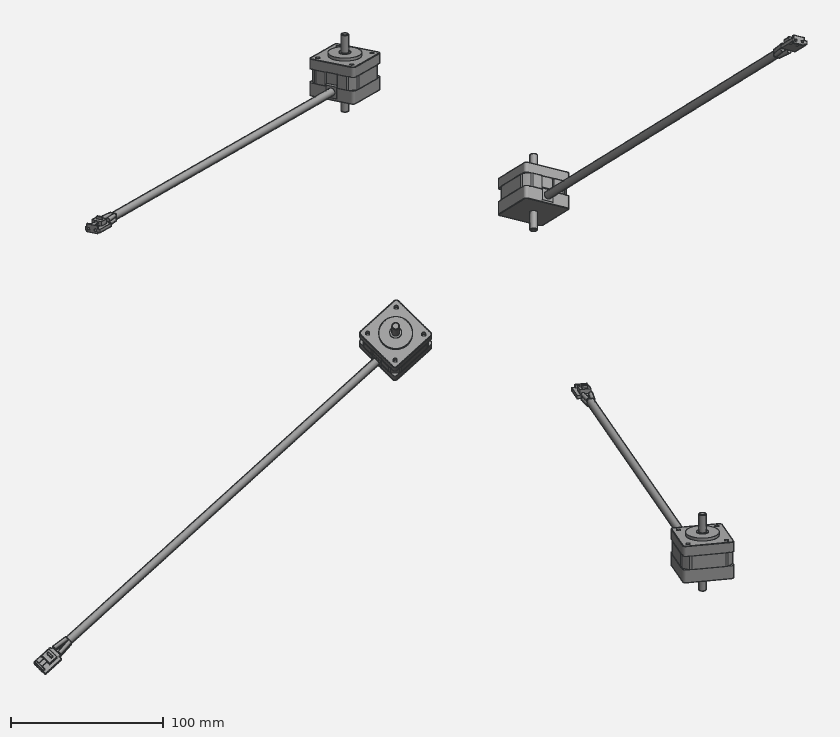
import cadquery as cq


TOTAL_LENGTH = 341.5

STATOR_WIDTH = 35.2
STATOR_CORNER_DIAMETER = 43.0
STATOR_EDGE_CHAMFER = 0.85
CAP_WIDTH = 34.5
CAP_CORNER_FILLET = 2.0
CAP_RIM_CHAMFER = 0.5
CAP_TOP_Z = 12.0
CAP_BOTTOM_Z = -14.0
STATOR_TOP_Z = 4.8
STATOR_BOTTOM_Z = -4.8

PILOT_DIAMETER = 22.2
PILOT_HEIGHT = 2.0
COLLAR_RING_DIAMETER = 8.0
COLLAR_RING_HEIGHT = 0.5
MOUNT_HOLE_SPACING = 26.0
MOUNT_HOLE_DIAMETER = 2.7
MOUNT_HOLE_DEPTH = 4.0

SHAFT_DIAMETER = 5.0
SHAFT_LENGTH = 54.0
SHAFT_CHAMFER = 0.5

OUTLET_WIDTH = 8.2
OUTLET_CLEARANCE = 0.7
OUTLET_DEPTH = 3.5
OUTLET_TOP_Z = STATOR_TOP_Z
OUTLET_STEP_TOP_Z = -3.0
OUTLET_STEP_BOTTOM_Z = -4.0
OUTLET_BOTTOM_Z = -12.3
OUTLET_UPPER_FACE_Y = -16.7
OUTLET_LOWER_FACE_Y = -17.5
OUTLET_BACK_Y = OUTLET_UPPER_FACE_Y + OUTLET_DEPTH
CABLE_DIAMETER = 5.5
CABLE_Z = -8.2
CABLE_END_Y = -297.0

WIRE_DIAMETER = 2.9
WIRE_START_OFFSET = 1.47
WIRE_END_OFFSET_X = 2.55
WIRE_END_OFFSET_Z = 1.47

PLUG_FRONT_Y = STATOR_WIDTH / 2 - TOTAL_LENGTH
PLUG_LENGTH = 14.7
PLUG_BACK_Y = PLUG_FRONT_Y + PLUG_LENGTH
PLUG_WIDTH = 11.0
NECK_LENGTH = 1.5
NECK_WIDTH = 7.5
NECK_BOTTOM_Z = -9.0
NECK_BACK_Y = PLUG_BACK_Y + NECK_LENGTH
PLUG_CENTER_X = 0.7
PLUG_TOP_Z = -7.5
PLUG_BOTTOM_Z = -10.0
COLLAR_WIDTH = 8.2
COLLAR_LENGTH = 1.5
COLLAR_TOP_Z = -5.5
COLLAR_BOTTOM_Z = -11.0
LATCH_WIDTH = 7.5
LATCH_SETBACK = 2.0
LATCH_BACK_Y = PLUG_BACK_Y - LATCH_SETBACK
LATCH_LENGTH = 6.5
LATCH_TOP_Z = -4.5
LATCH_ARM_WIDTH = 3.0
LATCH_ARM_THICKNESS = 0.7
THUMB_TAB_WIDTH = 4.0
THUMB_TAB_SETBACK = 2.0
THUMB_TAB_LENGTH = 1.5
THUMB_TAB_TOP_Z = -2.7
SOCKET_DIAMETER = 1.7
SOCKET_SPACING = 5.0
SOCKET_DEPTH = 7.0


def block(x_center, width, y_min, y_max, z_min, z_max):
    """A box centred on x_center, between the given Y and Z limits."""
    base_plane = cq.Workplane("XY", origin=(x_center, y_min, z_min))
    return base_plane.box(width, y_max - y_min, z_max - z_min, centered=(True, False, False))


def square_slab(width, z_min, z_max):
    """A square slab about the Z axis."""
    return cq.Workplane("XY").workplane(offset=z_min).rect(width, width).extrude(z_max - z_min)


def cap_slab(z_min, z_max, outer_face):
    """The square slab of an end cap, with round upright corners and a chamfered rim on its outer face."""
    slab = square_slab(CAP_WIDTH, z_min, z_max).edges("|Z").fillet(CAP_CORNER_FILLET)
    return slab.faces(outer_face).chamfer(CAP_RIM_CHAMFER)


def shaft_rod():
    """The plain round rod of the shaft, also used to bore the motor parts for it."""
    return cq.Workplane("XY").circle(SHAFT_DIAMETER / 2).extrude(SHAFT_LENGTH / 2, both=True)


def outlet_pocket():
    """The slot in the -Y face of the motor that holds the cable outlet."""
    slot_width = OUTLET_WIDTH + 2 * OUTLET_CLEARANCE
    slot = block(0, slot_width, -STATOR_WIDTH, OUTLET_BACK_Y, STATOR_BOTTOM_Z, OUTLET_TOP_Z)
    seat = block(0, OUTLET_WIDTH, -STATOR_WIDTH, OUTLET_BACK_Y, OUTLET_BOTTOM_Z, OUTLET_TOP_Z)
    return slot.union(seat)


def make_front_cap():
    cap = cap_slab(STATOR_TOP_Z, CAP_TOP_Z, ">Z")
    pilot = cq.Workplane("XY").workplane(offset=CAP_TOP_Z).circle(PILOT_DIAMETER / 2).extrude(PILOT_HEIGHT)
    collar_ring = (
        cq.Workplane("XY")
        .workplane(offset=CAP_TOP_Z)
        .circle(COLLAR_RING_DIAMETER / 2)
        .extrude(PILOT_HEIGHT + COLLAR_RING_HEIGHT)
    )
    mount_holes = (
        cq.Workplane("XY")
        .workplane(offset=CAP_TOP_Z)
        .rect(MOUNT_HOLE_SPACING, MOUNT_HOLE_SPACING, forConstruction=True)
        .vertices()
        .circle(MOUNT_HOLE_DIAMETER / 2)
        .extrude(-MOUNT_HOLE_DEPTH)
    )
    return cap.union(pilot).union(collar_ring).cut(mount_holes).cut(shaft_rod())


def make_stator():
    """A square core whose corners follow a cylinder about the motor axis."""
    square = square_slab(STATOR_WIDTH, STATOR_BOTTOM_Z, STATOR_TOP_Z)
    corner_cylinder = (
        cq.Workplane("XY")
        .workplane(offset=STATOR_BOTTOM_Z)
        .circle(STATOR_CORNER_DIAMETER / 2)
        .extrude(STATOR_TOP_Z - STATOR_BOTTOM_Z)
    )
    core = square.intersect(corner_cylinder).edges("|Z").chamfer(STATOR_EDGE_CHAMFER)
    return core.cut(outlet_pocket()).cut(shaft_rod())


def make_rear_cap():
    cap = cap_slab(CAP_BOTTOM_Z, STATOR_BOTTOM_Z, "<Z")
    return cap.cut(outlet_pocket()).cut(shaft_rod())


def make_shaft():
    return shaft_rod().faces("<Z or >Z").chamfer(SHAFT_CHAMFER)


def make_cable():
    """The round cable with its outlet block, which has a sloping step down its face."""
    outlet = (
        cq.Workplane("YZ")
        .polyline(
            [
                (OUTLET_BACK_Y, OUTLET_TOP_Z),
                (OUTLET_UPPER_FACE_Y, OUTLET_TOP_Z),
                (OUTLET_UPPER_FACE_Y, OUTLET_STEP_TOP_Z),
                (OUTLET_LOWER_FACE_Y, OUTLET_STEP_BOTTOM_Z),
                (OUTLET_LOWER_FACE_Y, OUTLET_BOTTOM_Z),
                (OUTLET_BACK_Y, OUTLET_BOTTOM_Z),
            ]
        )
        .close()
        .extrude(OUTLET_WIDTH / 2, both=True)
    )
    jacket = (
        cq.Workplane("XZ", origin=(0, OUTLET_BACK_Y, CABLE_Z))
        .circle(CABLE_DIAMETER / 2)
        .extrude(OUTLET_BACK_Y - CABLE_END_Y)
    )
    return outlet.union(jacket)


def make_wire(x_side, z_side):
    """A wire from the cable end to the back of the plug, on the given side in X and in Z."""
    section = cq.Workplane("XZ", origin=(0, CABLE_END_Y, CABLE_Z))
    return (
        section.center(x_side * WIRE_START_OFFSET, z_side * WIRE_START_OFFSET)
        .circle(WIRE_DIAMETER / 2)
        .workplane(offset=CABLE_END_Y - NECK_BACK_Y)
        .center(
            x_side * (WIRE_END_OFFSET_X - WIRE_START_OFFSET),
            z_side * (WIRE_END_OFFSET_Z - WIRE_START_OFFSET),
        )
        .circle(WIRE_DIAMETER / 2)
        .loft(ruled=True)
    )


def make_plug():
    collar_back_y = PLUG_FRONT_Y + COLLAR_LENGTH
    latch_front_y = LATCH_BACK_Y - LATCH_LENGTH
    tab_back_y = LATCH_BACK_Y - THUMB_TAB_SETBACK
    tab_front_y = tab_back_y - THUMB_TAB_LENGTH

    body = block(PLUG_CENTER_X, PLUG_WIDTH, PLUG_FRONT_Y, PLUG_BACK_Y, PLUG_BOTTOM_Z, PLUG_TOP_Z)
    neck = block(0, NECK_WIDTH, PLUG_BACK_Y, NECK_BACK_Y, NECK_BOTTOM_Z, PLUG_TOP_Z)
    collar = block(0, COLLAR_WIDTH, PLUG_FRONT_Y, collar_back_y, COLLAR_BOTTOM_Z, COLLAR_TOP_Z)
    latch = block(0, LATCH_WIDTH, latch_front_y, LATCH_BACK_Y, PLUG_TOP_Z, LATCH_TOP_Z)
    arm_bottom_z = COLLAR_TOP_Z - LATCH_ARM_THICKNESS
    arm = block(0, LATCH_ARM_WIDTH, collar_back_y, latch_front_y, arm_bottom_z, COLLAR_TOP_Z)
    thumb_tab = block(0, THUMB_TAB_WIDTH, tab_front_y, tab_back_y, LATCH_TOP_Z, THUMB_TAB_TOP_Z)
    sockets = (
        cq.Workplane("XZ", origin=(0, PLUG_FRONT_Y, (PLUG_TOP_Z + PLUG_BOTTOM_Z) / 2))
        .rarray(SOCKET_SPACING, 3.5, 2, 1)
        .circle(SOCKET_DIAMETER / 2)
        .extrude(-SOCKET_DEPTH)
    )
    return body.union(neck).union(collar).union(latch).union(arm).union(thumb_tab).cut(sockets)


front_cap = make_front_cap()
stator = make_stator()
rear_cap = make_rear_cap()
shaft = make_shaft()
cable = make_cable()
wires = [make_wire(x_side, z_side) for x_side in (-1, 1) for z_side in (-1, 1)]
plug = make_plug()

result = cq.Compound.makeCompound(
    [
        front_cap.val(),
        stator.val(),
        rear_cap.val(),
        shaft.val(),
        cable.val(),
        *[wire.val() for wire in wires],
        plug.val(),
    ]
)